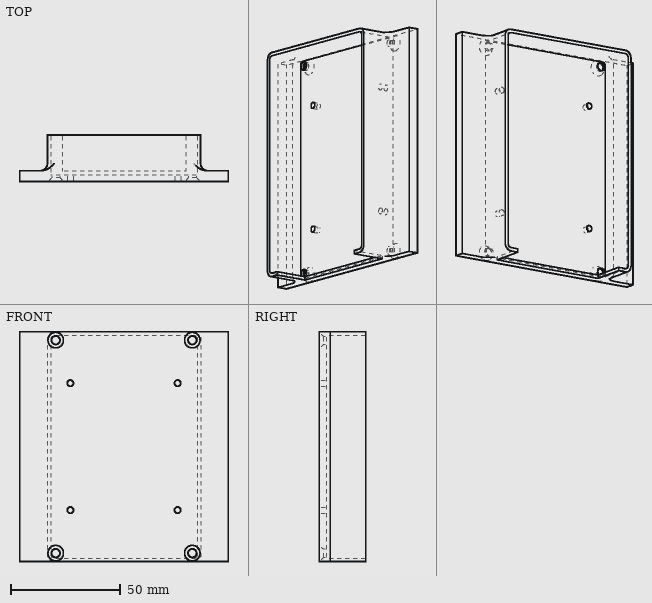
import cadquery as cq

plate_width = 95.4
plate_height = 105.0
plate_thickness = 5.0
floor_thickness = 3.175

total_depth = 21.35
box_width = 70.1
wall_thickness = 1.6
corner_radius = 3.175
base_fillet_radius = corner_radius

bottom_opening_width = 56.2

screw_hole_diameter = 3.81
screw_hole_inset = 3.85
countersink_diameter = 7.1
countersink_angle = 82.0

mount_hole_diameter = 2.75
mount_spacing_x = 49.0
mount_spacing_z = 58.0

box_depth = total_depth - plate_thickness
cavity_depth = total_depth - floor_thickness
cavity_width = box_width - 2 * wall_thickness
cavity_height = plate_height - 2 * wall_thickness
cavity_corner_radius = corner_radius - wall_thickness
screw_spacing_x = box_width - 2 * screw_hole_inset
screw_spacing_z = plate_height - 2 * screw_hole_inset


def block(width, height, front_y, depth):
    """Block centred on X and Z that starts at front_y and runs toward +Y."""
    return cq.Workplane("XY").box(width, depth, height).translate((0, front_y + depth / 2, 0))


def corner_points(spacing_x, spacing_z):
    return [(sx * spacing_x / 2, sz * spacing_z / 2) for sx in (-1, 1) for sz in (-1, 1)]


def make_plate_with_box():
    spare_height = plate_height + 4 * base_fillet_radius
    box = block(box_width, plate_height, plate_thickness, box_depth)
    box = box.edges("|Y").fillet(corner_radius)
    body = block(plate_width, spare_height, 0, plate_thickness).union(box)
    reach = base_fillet_radius / 2
    base_edges = cq.selectors.BoxSelector(
        (-box_width / 2 - reach, plate_thickness - reach, -plate_height / 2 - reach),
        (box_width / 2 + reach, plate_thickness + reach, plate_height / 2 + reach),
    )
    body = body.edges(base_edges).fillet(base_fillet_radius)
    return body.intersect(block(plate_width, plate_height, 0, total_depth))


def make_cavity():
    cavity = block(cavity_width, cavity_height, floor_thickness, cavity_depth)
    return cavity.edges("|Y").fillet(cavity_corner_radius)


def make_bottom_opening():
    opening = block(bottom_opening_width, plate_height / 2, plate_thickness, box_depth)
    return opening.translate((0, 0, -plate_height / 4))


def drill_screw_holes(body):
    points = corner_points(screw_spacing_x, screw_spacing_z)
    front = body.faces("<Y").workplane(origin=(0, 0, 0))
    return front.pushPoints(points).cskHole(screw_hole_diameter, countersink_diameter, countersink_angle)


def drill_mount_holes(body):
    points = corner_points(mount_spacing_x, mount_spacing_z)
    front = body.faces("<Y").workplane(origin=(0, 0, 0))
    return front.pushPoints(points).hole(mount_hole_diameter)


body = make_plate_with_box()
body = body.cut(make_cavity())
body = body.cut(make_bottom_opening())
body = drill_screw_holes(body)
result = drill_mount_holes(body)